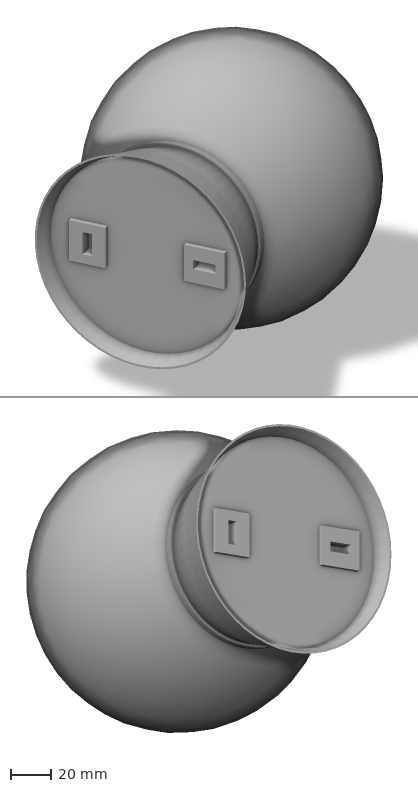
import cadquery as cq
import math

total_length = 180.0
globe_radius = 75.6
globe_centre_y = total_length - globe_radius

collar_radius = 46.8
collar_length = 4.1
collar_back_y = globe_centre_y - math.sqrt(globe_radius**2 - collar_radius**2)
collar_front_y = collar_back_y - collar_length

neck_radius = 45.4
rim_radius = 58.5
flare_hollow = 0.5

rim_wall = 1.0
recess_depth = 9.0
recess_floor_radius = 54.0

pad_height = 2.7
pad_long = 22.5
pad_short = 20.2
slot_long = 12.2
slot_short = 5.0
slot_depth = 7.2
pad_offset_x = 32.4
flat_pad_z = (pad_long - pad_short) / 2


def make_body():
    """Revolve the foot, collar and globe as one outline about the Y axis."""
    flare_middle = (
        (neck_radius + rim_radius) / 2 - flare_hollow,
        collar_front_y / 2,
    )
    outline = (
        cq.Workplane("XY")
        .lineTo(rim_radius, 0)
        .threePointArc(flare_middle, (neck_radius, collar_front_y))
        .lineTo(collar_radius, collar_front_y)
        .lineTo(collar_radius, collar_back_y)
        .threePointArc((globe_radius, globe_centre_y), (0, total_length))
        .close()
    )
    return outline.revolve(360, (0, 0, 0), (0, 1, 0))


def make_recess():
    """Tapered recess that leaves a thin rim around the open end."""
    outline = (
        cq.Workplane("XY")
        .lineTo(rim_radius - rim_wall, 0)
        .lineTo(recess_floor_radius, recess_depth)
        .lineTo(0, recess_depth)
        .close()
    )
    return outline.revolve(360, (0, 0, 0), (0, 1, 0))


def make_plate(length, width, height):
    """Rectangular block whose outer face is level with the face of the pads."""
    pad_face_y = recess_depth - pad_height
    return (
        cq.Workplane("XZ", origin=(0, pad_face_y, 0))
        .rect(length, width)
        .extrude(-height)
    )


def add_slotted_pad(body, centre_x, centre_z, turn):
    """Add a pad and cut its slot on into the recess floor; turn is about Y."""

    def place(block):
        return block.rotate((0, 0, 0), (0, 1, 0), turn).translate((centre_x, 0, centre_z))

    pad = place(make_plate(pad_long, pad_short, pad_height))
    slot = place(make_plate(slot_long, slot_short, slot_depth))
    return body.union(pad).cut(slot)


result = make_body().cut(make_recess())
result = add_slotted_pad(result, -pad_offset_x, 0, 90)
result = add_slotted_pad(result, pad_offset_x, flat_pad_z, 0)